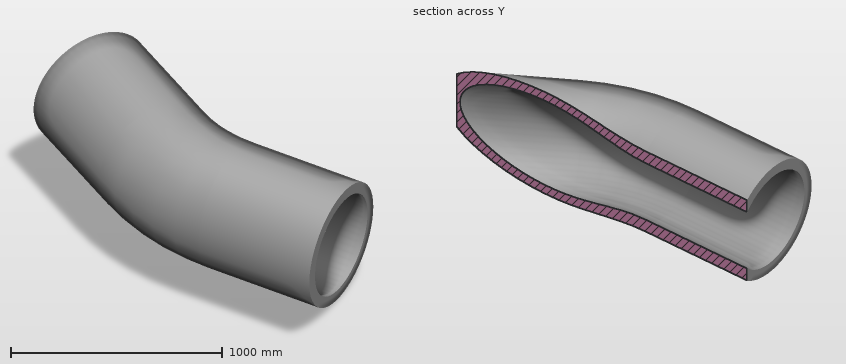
import cadquery as cq
import math

overall_length = 1744.0
outer_diameter = 630.0
bore_diameter = 516.0
bend_angle = 30.0
bend_radius = 1.5 * outer_diameter

angle = math.radians(bend_angle)
bend_reach = (bend_radius + outer_diameter / 2) * math.sin(angle)
leg_length = (overall_length - bend_reach) / (1 + math.cos(angle))


def pipe_ring(workplane):
    """Draw the annular pipe section on a workplane."""
    return workplane.circle(outer_diameter / 2).circle(bore_diameter / 2)


inlet_leg = pipe_ring(cq.Workplane("YZ")).extrude(leg_length)

bend_start = cq.Workplane("YZ", origin=(leg_length, 0, 0))
bend = pipe_ring(bend_start).revolve(bend_angle, (bend_radius, 0, 0), (bend_radius, 1, 0))

bend_end = cq.Plane(
    origin=(
        leg_length + bend_radius * math.sin(angle),
        bend_radius * (1 - math.cos(angle)),
        0,
    ),
    xDir=(-math.sin(angle), math.cos(angle), 0),
    normal=(math.cos(angle), math.sin(angle), 0),
)
outlet_leg = pipe_ring(cq.Workplane(bend_end)).extrude(leg_length)

result = inlet_leg.union(bend).union(outlet_leg)